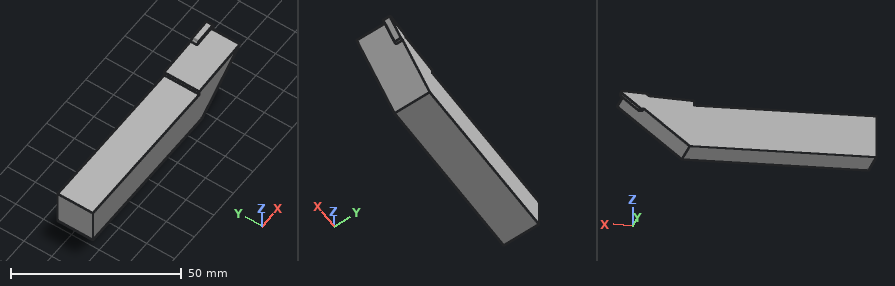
import cadquery as cq
import math

SHANK_WIDTH = 12.7
SHANK_HEIGHT = 12.7
HEAD_START_X = 54.4
HEAD_STEP_Z = 14.09
HEAD_TIP_X = 75.14
RAKE_ANGLE = 3.0
CLEARANCE_ANGLE = 38.1

OVERALL_LENGTH = 76.2
OVERALL_HEIGHT = 15.87
INSERT_WIDTH = 2.39
NOSE_RADIUS = 0.4
INSERT_BOTTOM_Z = 10.8
INSERT_BACK_X = 67.85
INSERT_BACK_TOP_X = 68.8
INSERT_BACK_RADIUS = 0.6

RAKE_SLOPE = math.tan(math.radians(RAKE_ANGLE))
CLEARANCE_SLOPE = math.tan(math.radians(CLEARANCE_ANGLE))


def head_top_z(x):
    """Height of the sloping head top at x."""
    return HEAD_STEP_Z + (x - HEAD_START_X) * RAKE_SLOPE


def side_plate(outline, y_min, y_max):
    """Extrude an XZ outline between two Y positions."""
    plane = cq.Workplane("XZ", origin=(0, y_max, 0))
    return plane.polyline(outline).close().extrude(y_max - y_min)


def make_holder():
    """Square shank with a raised, undercut head."""
    tip_z = head_top_z(HEAD_TIP_X)
    outline = [
        (0, 0),
        (HEAD_TIP_X - tip_z / CLEARANCE_SLOPE, 0),
        (HEAD_TIP_X, tip_z),
        (HEAD_START_X, HEAD_STEP_Z),
        (HEAD_START_X, SHANK_HEIGHT),
        (0, SHANK_HEIGHT),
    ]
    return side_plate(outline, 0, SHANK_WIDTH)


def round_edge_at(insert, point, radius):
    """Fillet the insert edge that runs along Y through an XZ point."""
    x, z = point
    edge_middle = (x, SHANK_WIDTH - INSERT_WIDTH / 2, z)
    return insert.edges(cq.selectors.NearestToPointSelector(edge_middle)).fillet(radius)


def make_insert():
    """Insert wrapping over the front edge, with a rounded cutting nose."""
    rake = math.radians(RAKE_ANGLE)
    clearance = math.radians(CLEARANCE_ANGLE)
    nose_x = OVERALL_LENGTH - NOSE_RADIUS
    nose_z = OVERALL_HEIGHT - NOSE_RADIUS
    top_z0 = nose_z + NOSE_RADIUS / math.cos(rake) - nose_x * RAKE_SLOPE
    front_z0 = nose_z - NOSE_RADIUS / math.cos(clearance) - nose_x * CLEARANCE_SLOPE

    corner_x = (top_z0 - front_z0) / (CLEARANCE_SLOPE - RAKE_SLOPE)
    corner = (corner_x, top_z0 + corner_x * RAKE_SLOPE)
    back_top = (INSERT_BACK_TOP_X, top_z0 + INSERT_BACK_TOP_X * RAKE_SLOPE)
    outline = [
        back_top,
        corner,
        ((INSERT_BOTTOM_Z - front_z0) / CLEARANCE_SLOPE, INSERT_BOTTOM_Z),
        (INSERT_BACK_X, INSERT_BOTTOM_Z),
        (INSERT_BACK_X, head_top_z(INSERT_BACK_X)),
    ]
    insert = side_plate(outline, SHANK_WIDTH - INSERT_WIDTH, SHANK_WIDTH)
    insert = round_edge_at(insert, corner, NOSE_RADIUS)
    return round_edge_at(insert, back_top, INSERT_BACK_RADIUS)


result = make_holder().union(make_insert())